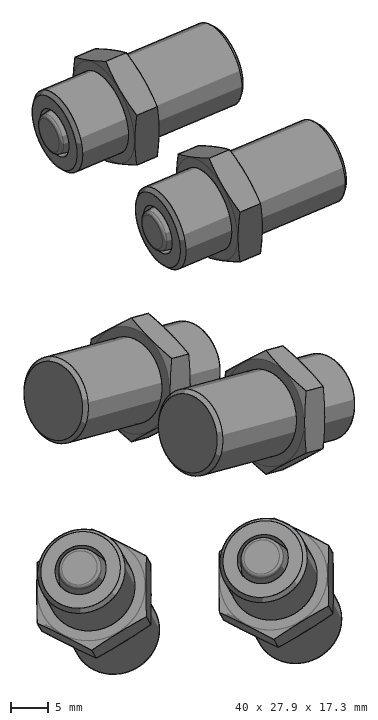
import cadquery as cq
import math

OVERALL_WIDTH = 40.0
HEX_ACROSS_FLATS = 15.0
UNIT_SPACING = OVERALL_WIDTH - HEX_ACROSS_FLATS
UNIT_COUNT = 2

SLEEVE_DIAMETER = 12.0
SLEEVE_END_DIAMETER = 10.9
SLEEVE_LENGTH = 27.0
SLEEVE_CHAMFER_LENGTH = 0.55
SLEEVE_CHAMFER_DEPTH = (SLEEVE_DIAMETER - SLEEVE_END_DIAMETER) / 2

NUT_THICKNESS = 4.0
NUT_FRONT_Y = 8.0
NUT_CHAMFER_DIAMETER = 14.8
NUT_CHAMFER_ANGLE = 15.0
HEX_ACROSS_CORNERS = HEX_ACROSS_FLATS / math.cos(math.pi / 6)

PIN_DIAMETER = 7.0
PIN_TIP_DIAMETER = 5.7
PIN_PROTRUSION = 0.9
PIN_TIP_FILLET = 0.5
PIN_TAPER_END_Y = 3.0
PIN_BORE_DEPTH = 6.0


def rod(diameter, start_y, length):
    """Round bar about the Y axis, running from start_y toward +Y."""
    plane = cq.Workplane("XZ", origin=(0, start_y, 0))
    return plane.circle(diameter / 2).extrude(-length)


def make_sleeve():
    """Round sleeve with beveled ends and a blind bore for the pin."""
    sleeve = rod(SLEEVE_DIAMETER, 0, SLEEVE_LENGTH)
    sleeve = sleeve.faces("<Y").chamfer(SLEEVE_CHAMFER_LENGTH, SLEEVE_CHAMFER_DEPTH)
    sleeve = sleeve.faces(">Y").chamfer(SLEEVE_CHAMFER_LENGTH, SLEEVE_CHAMFER_DEPTH)
    return sleeve.cut(rod(PIN_DIAMETER, 0, PIN_BORE_DEPTH))


def make_nut():
    """Hexagon nut with corners up and down, beveled by a cone on both faces."""
    blank = (
        cq.Workplane("XZ", origin=(0, NUT_FRONT_Y, 0))
        .transformed(rotate=(0, 0, 90))
        .polygon(6, HEX_ACROSS_CORNERS)
        .extrude(-NUT_THICKNESS)
    )
    face_radius = NUT_CHAMFER_DIAMETER / 2
    corner_radius = HEX_ACROSS_CORNERS / 2
    bevel = (corner_radius - face_radius) * math.tan(math.radians(NUT_CHAMFER_ANGLE))
    back_y = NUT_FRONT_Y + NUT_THICKNESS
    envelope = (
        cq.Workplane("XY")
        .moveTo(0, NUT_FRONT_Y)
        .lineTo(face_radius, NUT_FRONT_Y)
        .lineTo(corner_radius, NUT_FRONT_Y + bevel)
        .lineTo(corner_radius, back_y - bevel)
        .lineTo(face_radius, back_y)
        .lineTo(0, back_y)
        .close()
        .revolve(360, (0, 0, 0), (0, 1, 0))
    )
    bore = rod(SLEEVE_DIAMETER, NUT_FRONT_Y, NUT_THICKNESS)
    return blank.intersect(envelope).cut(bore)


def make_pin():
    """Round pin that fills the inner bore and tapers to a rounded front tip."""
    pin = (
        cq.Workplane("XY")
        .moveTo(0, -PIN_PROTRUSION)
        .lineTo(PIN_TIP_DIAMETER / 2, -PIN_PROTRUSION)
        .lineTo(PIN_DIAMETER / 2, PIN_TAPER_END_Y)
        .lineTo(PIN_DIAMETER / 2, PIN_BORE_DEPTH)
        .lineTo(0, PIN_BORE_DEPTH)
        .close()
        .revolve(360, (0, 0, 0), (0, 1, 0))
    )
    return pin.faces("<Y").edges().fillet(PIN_TIP_FILLET)


center_shift = (PIN_PROTRUSION - SLEEVE_LENGTH) / 2
bodies = []
for index in range(UNIT_COUNT):
    unit_x = (index - (UNIT_COUNT - 1) / 2) * UNIT_SPACING
    for make_body in (make_sleeve, make_nut, make_pin):
        bodies.append(make_body().translate((unit_x, center_shift, 0)).val())

result = cq.Compound.makeCompound(bodies)